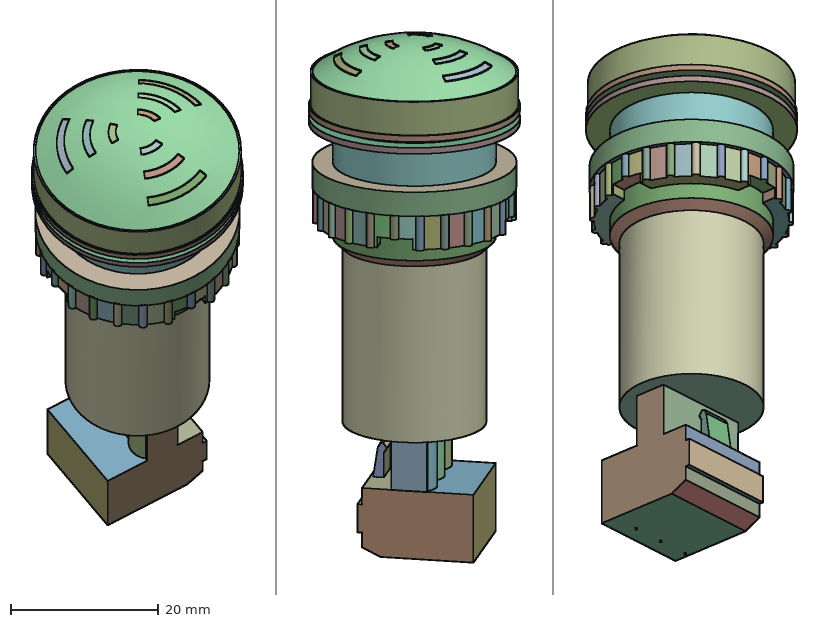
import cadquery as cq
import math

HEIGHT = 71.6
CAP_EDGE_Z = 67.1
LIP_TOP_Z = 62.4
LIP_BOTTOM_Z = 61.55
FLANGE_TOP_Z = 60.7
FLANGE_BOTTOM_Z = 59.8
NUT_TOP_Z = 54.25
KNURL_TOP_Z = 50.8
NUT_NOTCH_Z = 47.4
NUT_BOTTOM_Z = 45.9
NECK_BOTTOM_Z = 43.65
TUBE_TOP_Z = 42.45
TUBE_BOTTOM_Z = 17.4
PLUG_TOP_Z = 9.8
PLUG_BOTTOM_Z = 0.15

FLANGE_DIAMETER = 28.7
FLANGE_RADIUS = FLANGE_DIAMETER / 2
CAP_RADIUS = 14.1
DOME_RADIUS = 13.8
GASKET_RADIUS = 12.4
GASKET_BULGE = 0.2
NECK_RADIUS = 11.1
TUBE_RADIUS = 9.8

MARK_SECTORS = 3
MARKS_PER_SECTOR = 3
MARK_FIRST_RADIUS = 2.9
MARK_PITCH = 3.5
MARK_WIDTH = 1.0
MARK_HALF_ANGLE = 25.5
MARK_DEPTH = 0.15

NUT_RADIUS = 13.9
KNURL_BASE_RADIUS = 13.25
RIB_COUNT = 24
RIB_RADIUS = 0.6
NOTCH_COUNT = 4
NOTCH_WIDTH = 4.95

PLUG_WIDTH = 14.9
PLUG_FRONT_Y = -9.7
PLUG_BACK_Y = 5.7
PLUG_CHAMFER_LENGTH = 2.6
PLUG_CHAMFER_HEIGHT = 1.2
RAIL_DEPTH = 0.65
RAIL_BOTTOM_Z = 3.4
RAIL_TOP_Z = 7.45
HOUSING_FRONT_Y = -3.3
HOUSING_BACK_Y = 1.65
HOUSING_OVERHANG = 0.15
CONTACT_COUNT = 3
CONTACT_PITCH = 4.95
CONTACT_WIDTH = 4.15
CONTACT_BULGE = 0.85
LATCH_WIDTH = 4.3
LATCH_BASE_BACK_Y = 5.3
LATCH_SHOULDER_Y = 4.65
LATCH_TIP_Y = 4.1
LATCH_TIP_THICKNESS = 0.4
LATCH_FRONT_Y = 3.8
LATCH_HOOK_Y = 3.35
LATCH_TOP_Z = 14.7
LATCH_HOOK_Z = 14.0
LATCH_HOOK_BOTTOM_Z = 13.3
PIN_RADIUS = 0.15
PIN_LENGTH = 0.7
PIN_SHIFT_X = -1.7
PIN_Y = -7.2


def dome_height(radius):
    """Height of the spherical dome at a distance from the axis."""
    rise = HEIGHT - CAP_EDGE_Z
    sphere_radius = (DOME_RADIUS**2 + rise**2) / (2 * rise)
    return HEIGHT - sphere_radius + math.sqrt(sphere_radius**2 - radius**2)


def make_body():
    """Domed cap, double flange with gasket, neck and tube, turned about Z."""
    dome_mid_radius = DOME_RADIUS / 2
    gasket_edge_radius = GASKET_RADIUS - GASKET_BULGE
    gasket_mid_z = (LIP_BOTTOM_Z + FLANGE_TOP_Z) / 2
    return (
        cq.Workplane("XZ")
        .moveTo(0, TUBE_BOTTOM_Z)
        .lineTo(TUBE_RADIUS, TUBE_BOTTOM_Z)
        .lineTo(TUBE_RADIUS, TUBE_TOP_Z)
        .lineTo(NECK_RADIUS, NECK_BOTTOM_Z)
        .lineTo(NECK_RADIUS, FLANGE_BOTTOM_Z)
        .lineTo(FLANGE_RADIUS, FLANGE_BOTTOM_Z)
        .lineTo(FLANGE_RADIUS, FLANGE_TOP_Z)
        .lineTo(gasket_edge_radius, FLANGE_TOP_Z)
        .lineTo(GASKET_RADIUS, gasket_mid_z)
        .lineTo(gasket_edge_radius, LIP_BOTTOM_Z)
        .lineTo(FLANGE_RADIUS, LIP_BOTTOM_Z)
        .lineTo(FLANGE_RADIUS, LIP_TOP_Z)
        .lineTo(CAP_RADIUS, LIP_TOP_Z)
        .lineTo(CAP_RADIUS, CAP_EDGE_Z)
        .lineTo(DOME_RADIUS, CAP_EDGE_Z)
        .threePointArc((dome_mid_radius, dome_height(dome_mid_radius)), (0, HEIGHT))
        .close()
        .revolve(360, (0, 0, 0), (0, 1, 0))
    )


def make_dome_mark(inner_radius, direction):
    """Curved cutter that follows the dome, centred on a direction about Z."""
    outer_radius = inner_radius + MARK_WIDTH
    return (
        cq.Workplane("XZ")
        .moveTo(inner_radius, dome_height(inner_radius) - MARK_DEPTH)
        .lineTo(outer_radius, dome_height(outer_radius) - MARK_DEPTH)
        .lineTo(outer_radius, HEIGHT)
        .lineTo(inner_radius, HEIGHT)
        .close()
        .revolve(2 * MARK_HALF_ANGLE, (0, 0, 0), (0, 1, 0))
        .rotate((0, 0, 0), (0, 0, 1), direction - MARK_HALF_ANGLE)
    )


def make_nut():
    """Ring with a ribbed grip and a notch on each side of its lower rim."""
    grip_height = KNURL_TOP_Z - NUT_BOTTOM_Z
    grip_plane = cq.Workplane("XY").workplane(offset=NUT_BOTTOM_Z)
    nut = (
        cq.Workplane("XY")
        .workplane(offset=KNURL_TOP_Z)
        .circle(NUT_RADIUS)
        .extrude(NUT_TOP_Z - KNURL_TOP_Z)
        .union(grip_plane.circle(KNURL_BASE_RADIUS).extrude(grip_height))
        .union(
            grip_plane.polarArray(KNURL_BASE_RADIUS, 0, 360, RIB_COUNT)
            .circle(RIB_RADIUS)
            .extrude(grip_height)
        )
    )
    notches = (
        grip_plane.polarArray(NUT_RADIUS / 2, 0, 360, NOTCH_COUNT)
        .rect(NUT_RADIUS, NOTCH_WIDTH)
        .extrude(NUT_NOTCH_Z - NUT_BOTTOM_Z)
    )
    return nut.cut(notches)


def extrude_across(outline, width):
    """Solid from an outline of (Y, Z) points, centred on X = 0."""
    return cq.Workplane("YZ").polyline(outline).close().extrude(width / 2, both=True)


def make_plug():
    """Terminal block with a sloped lower back edge and a rail on its back."""
    rail_back_y = PLUG_BACK_Y + RAIL_DEPTH
    outline = [
        (PLUG_FRONT_Y, PLUG_BOTTOM_Z),
        (PLUG_BACK_Y - PLUG_CHAMFER_LENGTH, PLUG_BOTTOM_Z),
        (PLUG_BACK_Y, PLUG_BOTTOM_Z + PLUG_CHAMFER_HEIGHT),
        (PLUG_BACK_Y, RAIL_BOTTOM_Z),
        (rail_back_y, RAIL_BOTTOM_Z),
        (rail_back_y, RAIL_TOP_Z),
        (PLUG_BACK_Y, RAIL_TOP_Z),
        (PLUG_BACK_Y, PLUG_TOP_Z),
        (PLUG_FRONT_Y, PLUG_TOP_Z),
    ]
    return extrude_across(outline, PLUG_WIDTH)


def make_latch():
    """Leaning hook that rises from the top of the plug."""
    tip_back_y = LATCH_TIP_Y + LATCH_TIP_THICKNESS / 2
    tip_front_y = LATCH_TIP_Y - LATCH_TIP_THICKNESS / 2
    outline = [
        (LATCH_BASE_BACK_Y, PLUG_TOP_Z),
        (LATCH_SHOULDER_Y, LATCH_HOOK_Z),
        (tip_back_y, LATCH_TOP_Z),
        (tip_front_y, LATCH_TOP_Z),
        (LATCH_HOOK_Y, LATCH_HOOK_Z),
        (LATCH_FRONT_Y, LATCH_HOOK_BOTTOM_Z),
        (LATCH_FRONT_Y, PLUG_TOP_Z),
    ]
    return extrude_across(outline, LATCH_WIDTH)


def contact_positions():
    """X places of the contacts, centred on the plug."""
    middle = (CONTACT_COUNT - 1) / 2
    return [(i - middle) * CONTACT_PITCH for i in range(CONTACT_COUNT)]


def make_housing():
    """Block between tube and plug, with one rounded front per contact."""
    right_x = PLUG_WIDTH / 2
    left_x = -right_x - HOUSING_OVERHANG
    height = TUBE_BOTTOM_Z - PLUG_TOP_Z
    base = cq.Workplane("XY").workplane(offset=PLUG_TOP_Z)
    housing = (
        base.moveTo(left_x, HOUSING_FRONT_Y)
        .lineTo(right_x, HOUSING_FRONT_Y)
        .lineTo(right_x, HOUSING_BACK_Y)
        .lineTo(left_x, HOUSING_BACK_Y)
        .close()
        .extrude(height)
    )
    for x in contact_positions():
        front = (
            base.moveTo(x - CONTACT_WIDTH / 2, HOUSING_FRONT_Y)
            .threePointArc(
                (x, HOUSING_FRONT_Y - CONTACT_BULGE),
                (x + CONTACT_WIDTH / 2, HOUSING_FRONT_Y),
            )
            .close()
            .extrude(height)
        )
        housing = housing.union(front)
    return housing


def make_pins():
    """Small pins that just stand out of the underside of the plug."""
    places = [(x + PIN_SHIFT_X, PIN_Y) for x in contact_positions()]
    return cq.Workplane("XY").pushPoints(places).circle(PIN_RADIUS).extrude(PIN_LENGTH)


result = make_body()
for sector in range(MARK_SECTORS):
    for ring in range(MARKS_PER_SECTOR):
        mark_radius = MARK_FIRST_RADIUS + ring * MARK_PITCH
        result = result.cut(make_dome_mark(mark_radius, sector * 360 / MARK_SECTORS))

for feature in (make_nut(), make_housing(), make_plug(), make_latch(), make_pins()):
    result = result.union(feature)